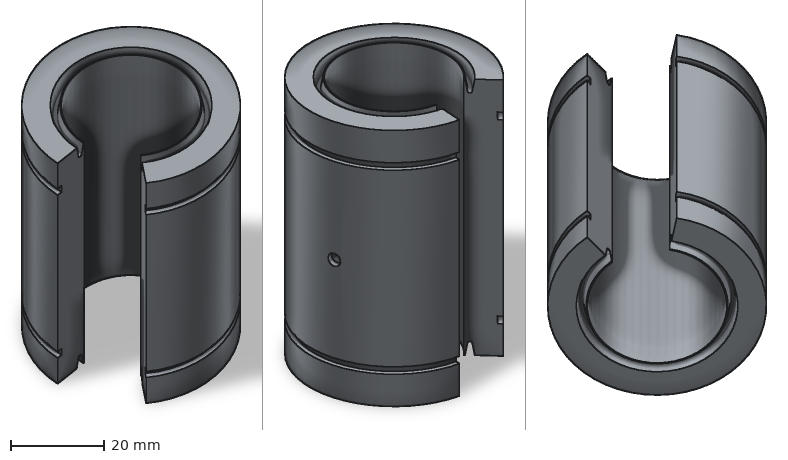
import cadquery as cq
import math

LENGTH = 68.0
OUTER_RADIUS = 23.5
BORE_RADIUS = 15.0
OPENING_ANGLE = 50.0

RING_GROOVE_SPAN = 52.1
RING_GROOVE_WIDTH = 1.85
RING_GROOVE_RADIUS = 22.25

SEAL_GROOVE_DEPTH = 3.4
SEAL_GROOVE_INNER_RADIUS = 15.25
SEAL_GROOVE_OUTER_RADIUS = 17.35
SEAL_GROOVE_ROOT_RADIUS = 0.525

HOLE_DIAMETER = 3.1
HOLE_OFFSET_Y = 2.0
HOLE_DEPTH = 1.75
HOLE_TIP_ANGLE = 118.0

CUT_CLEARANCE = 1.0
HALF_LENGTH = LENGTH / 2


def make_sleeve():
    """Plain tube of the full length."""
    return (
        cq.Workplane("XY")
        .circle(OUTER_RADIUS)
        .circle(BORE_RADIUS)
        .extrude(HALF_LENGTH, both=True)
    )


def make_opening():
    """Radial wedge that opens the tube toward -Y over its full length."""
    reach = 2 * OUTER_RADIUS
    half_width = reach * math.tan(math.radians(OPENING_ANGLE / 2))
    return (
        cq.Workplane("XY")
        .polyline([(0, 0), (-half_width, -reach), (half_width, -reach)])
        .close()
        .extrude(HALF_LENGTH, both=True)
    )


def make_ring_groove():
    """Ring removed for the upper retaining ring."""
    return (
        cq.Workplane("XY")
        .workplane(offset=RING_GROOVE_SPAN / 2 - RING_GROOVE_WIDTH)
        .circle(OUTER_RADIUS + CUT_CLEARANCE)
        .circle(RING_GROOVE_RADIUS)
        .extrude(RING_GROOVE_WIDTH)
    )


def make_seal_groove():
    """Ring removed from the upper end face, its walls closing in on a half-round root."""
    root_centre = (SEAL_GROOVE_INNER_RADIUS + SEAL_GROOVE_OUTER_RADIUS) / 2
    root_bottom = HALF_LENGTH - SEAL_GROOVE_DEPTH
    root_top = root_bottom + SEAL_GROOVE_ROOT_RADIUS
    return (
        cq.Workplane("XZ")
        .moveTo(SEAL_GROOVE_INNER_RADIUS, HALF_LENGTH)
        .lineTo(root_centre - SEAL_GROOVE_ROOT_RADIUS, root_top)
        .threePointArc((root_centre, root_bottom), (root_centre + SEAL_GROOVE_ROOT_RADIUS, root_top))
        .lineTo(SEAL_GROOVE_OUTER_RADIUS, HALF_LENGTH)
        .close()
        .revolve(360, (0, 0, 0), (0, 1, 0))
    )


def make_blind_hole():
    """Drill shape: a straight cylinder ended by a conical tip."""
    radius = HOLE_DIAMETER / 2
    tip_depth = radius / math.tan(math.radians(HOLE_TIP_ANGLE / 2))
    mouth = cq.Vector(-OUTER_RADIUS, HOLE_OFFSET_Y, 0)
    inward = cq.Vector(1, 0, 0)
    shank = cq.Solid.makeCylinder(radius, HOLE_DEPTH, mouth, inward)
    tip = cq.Solid.makeCone(radius, 0, tip_depth, mouth + inward * HOLE_DEPTH, inward)
    return cq.Workplane(shank.fuse(tip))


result = make_sleeve()
for end_cut in (make_ring_groove(), make_seal_groove()):
    result = result.cut(end_cut).cut(end_cut.mirror("XY"))
result = result.cut(make_opening()).cut(make_blind_hole())